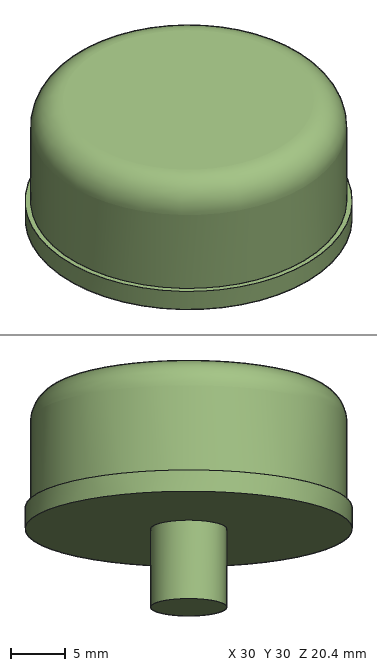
import cadquery as cq

flange_diameter = 30.0
flange_height = 2.0
cap_diameter = 29.0
cap_height = 11.07
cap_edge_radius = 3.0
stem_diameter = 7.0
total_height = 20.45

stem_length = total_height - flange_height - cap_height


def cylinder(diameter, height, base_z):
    """Upright cylinder centred on the Z axis."""
    return cq.Workplane("XY").workplane(offset=base_z).circle(diameter / 2).extrude(height)


stem = cylinder(stem_diameter, stem_length, -stem_length)
flange = cylinder(flange_diameter, flange_height, 0)

cap = cylinder(cap_diameter, cap_height, flange_height).faces(">Z").edges().fillet(cap_edge_radius)

result = flange.union(cap).union(stem)